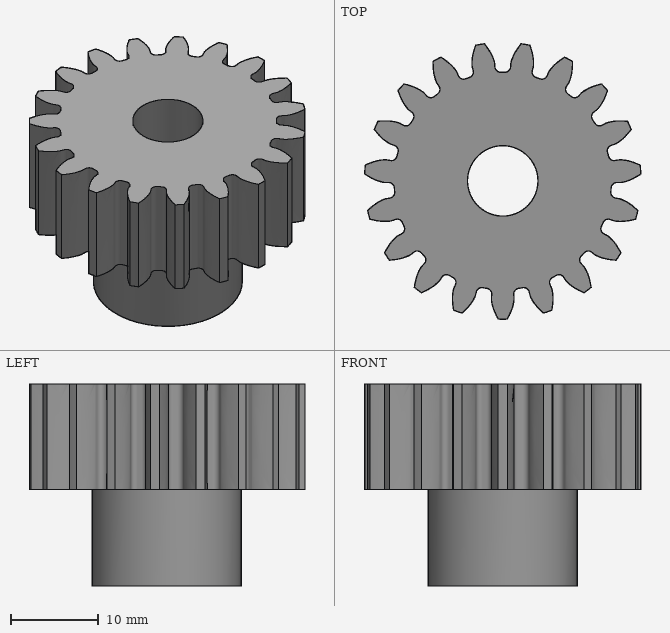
import cadquery as cq
import math

TOOTH_COUNT = 19
OVERALL_WIDTH = 31.45
PRESSURE_ANGLE = math.radians(20)
DEDENDUM_FACTOR = 1.25
ROOT_FILLET = 0.63
ROOT_TOLERANCE = 0.03
GEAR_WIDTH = 12.02
HUB_LENGTH = 10.98
HUB_DIAMETER = 17.0
BORE_DIAMETER = 8.0
FLANK_POINTS = 7
FIRST_TOOTH_ANGLE = -math.pi / 2


def involute(pressure_angle):
    """Polar angle of the involute where it has this pressure angle."""
    return math.tan(pressure_angle) - pressure_angle


PITCH = 2 * math.pi / TOOTH_COUNT
OUTER_MODULES = TOOTH_COUNT / 2 + 1
ROOT_MODULES = TOOTH_COUNT / 2 - DEDENDUM_FACTOR
BASE_MODULES = TOOTH_COUNT / 2 * math.cos(PRESSURE_ANGLE)

BASE_HALF_ANGLE = PITCH / 4 + involute(PRESSURE_ANGLE)
TIP_PRESSURE_ANGLE = math.acos(BASE_MODULES / OUTER_MODULES)
TIP_HALF_ANGLE = BASE_HALF_ANGLE - involute(TIP_PRESSURE_ANGLE)

OUTER_RADIUS = OVERALL_WIDTH / 2 / math.cos(PITCH / 4 - TIP_HALF_ANGLE)
MODULE = OUTER_RADIUS / OUTER_MODULES
ROOT_RADIUS = ROOT_MODULES * MODULE
BASE_RADIUS = BASE_MODULES * MODULE


def polar(radius, angle):
    return (radius * math.cos(angle), radius * math.sin(angle))


def flank(centre, side):
    """Involute points from base circle to tip; side is -1 or +1 about the tooth centre."""
    points = []
    for i in range(FLANK_POINTS):
        roll = math.tan(TIP_PRESSURE_ANGLE) * i / (FLANK_POINTS - 1)
        local_pressure_angle = math.atan(roll)
        radius = BASE_RADIUS / math.cos(local_pressure_angle)
        half_angle = BASE_HALF_ANGLE - involute(local_pressure_angle)
        points.append(polar(radius, centre + side * half_angle))
    return points


def gear_outline():
    """Closed outline: radial root, involute flanks and arc tip for every tooth."""
    start = polar(ROOT_RADIUS, FIRST_TOOTH_ANGLE - BASE_HALF_ANGLE)
    outline = cq.Workplane("XY").workplane(offset=HUB_LENGTH).moveTo(*start)
    for tooth in range(TOOTH_COUNT):
        centre = FIRST_TOOTH_ANGLE + tooth * PITCH
        rising = flank(centre, -1)
        falling = flank(centre, 1)[::-1]
        outline = outline.lineTo(*rising[0])
        outline = outline.spline(rising[1:], includeCurrent=True)
        outline = outline.threePointArc(polar(OUTER_RADIUS, centre), falling[0])
        outline = outline.spline(falling[1:], includeCurrent=True)
        outline = outline.lineTo(*polar(ROOT_RADIUS, centre + BASE_HALF_ANGLE))
        if tooth < TOOTH_COUNT - 1:
            next_root = polar(ROOT_RADIUS, centre + PITCH - BASE_HALF_ANGLE)
        else:
            next_root = start
        outline = outline.threePointArc(polar(ROOT_RADIUS, centre + PITCH / 2), next_root)
    return outline.close()


def is_root_corner(edge):
    """True for an edge that lies on the root circle."""
    centre = edge.Center()
    return abs(math.hypot(centre.x, centre.y) - ROOT_RADIUS) < ROOT_TOLERANCE


gear = gear_outline().extrude(GEAR_WIDTH)
gear = gear.edges("|Z").filter(is_root_corner).fillet(ROOT_FILLET)

hub = cq.Workplane("XY").circle(HUB_DIAMETER / 2).extrude(HUB_LENGTH)

bore = cq.Workplane("XY").circle(BORE_DIAMETER / 2).extrude(HUB_LENGTH + GEAR_WIDTH)

result = gear.union(hub).cut(bore)